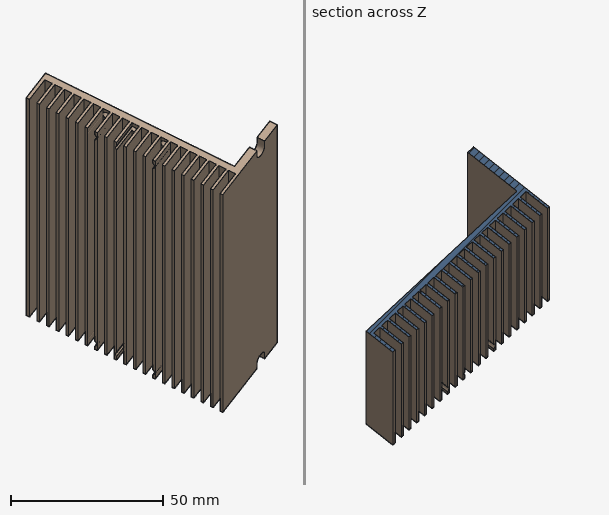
import cadquery as cq

width = 76.0
depth = 34.0
height = 118.0

plate_back = 12.0
plate_thickness = 2.5
fin_length = plate_back - plate_thickness
fin_count = 21
fin_thickness = 1.01
fin_gap = 2.7
fin_pitch = fin_thickness + fin_gap
first_fin_thickness = 1.3

flange_thickness = 3.0
notch_width = 4.7
notch_depth = 5.1
notch_y = 23.7

hole_end_distance = 3.1
mounting_hole_diameter = 3.5
mounting_hole_positions = (25.5, 47.9)
pilot_hole_diameter = 2.5
pilot_hole_positions = (35.8,)


def block(x, y, size_x, size_y):
    """Full-height block with its left front corner at (x, y)."""
    return cq.Workplane("XY").box(size_x, size_y, height, centered=False).translate((x, y, 0))


def make_fins():
    """Evenly spaced fins counted from the flange side, closed by a thicker fin at X = 0."""
    fins = block(0, 0, first_fin_thickness, plate_back)
    for index in range(fin_count - 1):
        fin_x = width - fin_thickness - index * fin_pitch
        fins = fins.union(block(fin_x, 0, fin_thickness, plate_back))
    return fins


def make_holes(diameter, x_positions):
    """Cutters along Y, through the plate and the fins next to each hole."""
    points = [(x, z) for x in x_positions for z in (hole_end_distance, height - hole_end_distance)]
    return (
        cq.Workplane("XZ")
        .pushPoints(points)
        .circle(diameter / 2)
        .extrude(-plate_back)
    )


def make_end_notches():
    """Round-bottomed slots cutting into both ends of the flange."""
    slot_length = 2 * notch_depth
    return (
        cq.Workplane("YZ", origin=(width - flange_thickness, 0, 0))
        .pushPoints([(notch_y, 0), (notch_y, height)])
        .slot2D(slot_length, notch_width, 90)
        .extrude(flange_thickness)
    )


plate = block(0, fin_length, width, plate_thickness)
flange = block(width - flange_thickness, fin_length, flange_thickness, depth - fin_length)

result = (
    plate.union(flange)
    .union(make_fins())
    .cut(make_holes(mounting_hole_diameter, mounting_hole_positions))
    .cut(make_holes(pilot_hole_diameter, pilot_hole_positions))
    .cut(make_end_notches())
)